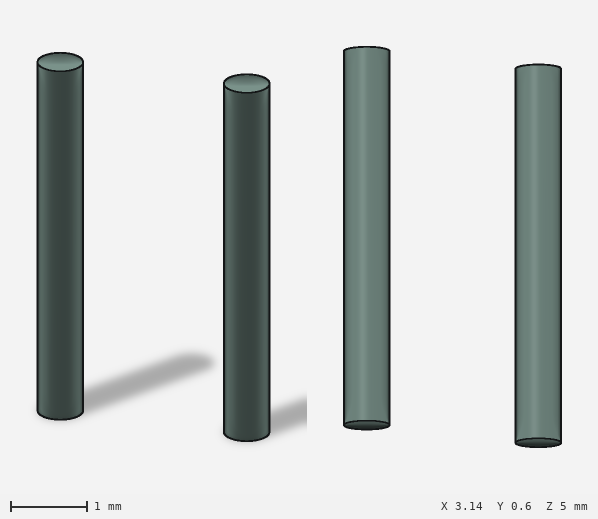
import cadquery as cq

pin_length = 5.0
pin_diameter = 0.6
pin_spacing = 2.54


def make_pin(x_center):
    """Plain round pin standing on the XY plane, with its axis at x_center."""
    return cq.Workplane("XY").center(x_center, 0).circle(pin_diameter / 2).extrude(pin_length)


pins = []
for side in (-1, 1):
    pin = make_pin(side * pin_spacing / 2)
    pins.append(pin.val())

result = cq.Compound.makeCompound(pins)